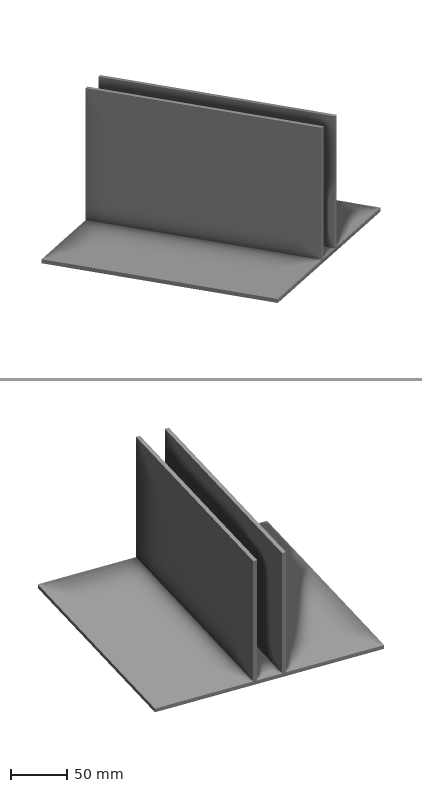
import cadquery as cq

side = 228.5
total_height = 131.0
thickness = 4.0

wall_gap = 25.0

base = cq.Workplane("XY").box(side, side, thickness, centered=(True, True, False))


def upright_wall(direction):
    """Full-length wall on the +Y or -Y side of the central gap."""
    center_y = direction * (wall_gap + thickness) / 2
    return (
        cq.Workplane("XY")
        .center(0, center_y)
        .box(side, thickness, total_height, centered=(True, True, False))
    )


result = base
for direction in (-1, 1):
    result = result.union(upright_wall(direction))